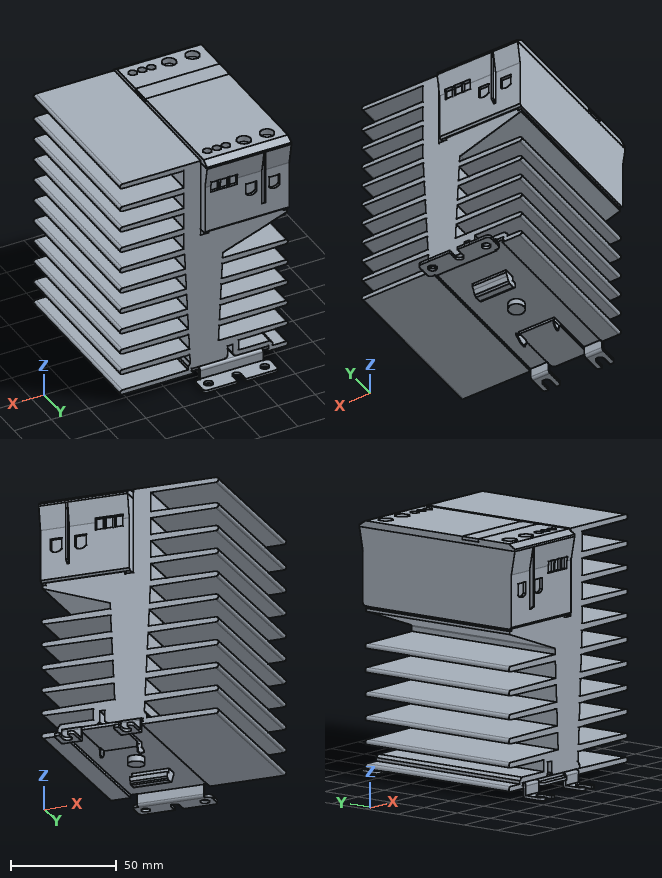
import cadquery as cq

SINK_HALF_LENGTH = 43.5
TOP_Z = 124.5
SINK_BOTTOM_Z = 4.6
SINK_WIDTH = 90.0
FIN_REACH = SINK_WIDTH / 2
FIN_TIP_THICKNESS = 2.6
FIN_TIP_RADIUS = FIN_TIP_THICKNESS / 2
FIN_ROOT_THICKNESS = 3.4
FIN_ROOT_HALF = FIN_ROOT_THICKNESS / 2
FIN_ROOT_X = 6.2
BOTTOM_FIN_Z = SINK_BOTTOM_Z + FIN_TIP_RADIUS
TOP_FIN_Z = TOP_Z - FIN_TIP_RADIUS
RIGHT_FIN_COUNT = 10
LEFT_FIN_COUNT = 6
FIN_ROW_HEIGHT = 104.3
FIN_PITCH = FIN_ROW_HEIGHT / (RIGHT_FIN_COUNT - 1)
UPPER_LEFT_FIN_Z = BOTTOM_FIN_Z + (LEFT_FIN_COUNT - 1) * FIN_PITCH
STEM_BOTTOM_HALF = 7.1
STEM_TOP_HALF = 10.5
STEM_TOP_Z = UPPER_LEFT_FIN_Z + FIN_PITCH
COLUMN_LEFT = 1.7
COLUMN_RIGHT = 10.7
SHELF_Z = 82.2
SHELF_TIP_X = -44.6
SHELF_TIP_Z = 80.7
SHELF_ROOT_Z = 68.5
SHELF_ROOT_ROUND = 0.6
PAD_LEFT = -42.7
PAD_RIGHT = -2.6
BASE_LEFT = -36.7
BASE_TOP_Z = 10.3
BASE_CHAMFER = 1.5
BASE_RIGHT = 8.5
BASE_RIGHT_Z = 9.3
BASE_RIGHT_TOP_Z = 11.5
PEDESTAL_LEFT = -18.5
SLOT_WIDTH = 2.7
SLOT_TOP_Z = 14.5
SLOT_FLARE = 1.2

MOUNT_X = -14.1
SHEET = 1.5
BEND_RADIUS = 1.4
PLATE_BOTTOM_Z = SINK_BOTTOM_Z + SHEET
PLATE_TOP_Z = PLATE_BOTTOM_Z + SHEET
PLATE_WIDTH = 41.1
FLANGE_WIDTH = 40.1
REAR_WEB_WIDTH = 33.9
FOOT_WIDTH = 10.0
WEB_OUTER_Y = SINK_HALF_LENGTH + SHEET
FLANGE_END_Y = 55.0
FLANGE_CORNER = 2.0
FOOT_CORNER = 1.5
SCREW_WIDTH = 4.4
SCREW_SPACING = 30.1
SCREW_Y = 49.9
HOOK_WIDTH = 18.9

SLIDER_WIDTH = 19.8
SLIDER_FRONT_Y = -46.9
SLIDER_CORNER = 2.2
CLAW_THICKNESS = 0.5
CLAW_BACK_Y = -17.5
RIVET_RADIUS = 4.1
RIVET_BOTTOM_Z = 3.0

HOUSING_LEFT = -FIN_REACH
HOUSING_RIGHT = 0.2
HOUSING_BOTTOM_Z = 83.3
UNDERCUT_TOP_Z = 84.3
FACE_TOP_Z = 109.8
LID_BOTTOM_Z = 121.3
LIP_TOP_Z = 122.3
HOUSING_TOP_HALF = SINK_HALF_LENGTH
HOUSING_BOTTOM_HALF = 43.8
FACE_HALF = 45.0
LIP_HALF = 47.0
RIB_X = -30.8
RIB_WIDTH = 1.0
RIB_END_Z = 92.5
RIB_END_CHAMFER = 1.6
POWER_X = [-37.0, -24.5]
CONTROL_X = [-15.0, -10.1, -5.0]
TERMINAL_Y = 37.5
POWER_HOLE_DIAMETER = 7.0
CONTROL_HOLE_DIAMETER = 4.2
ENTRY_DEPTH = 1.5
POWER_ENTRY_WIDTH = 5.7
POWER_ENTRY_TOP_Z = 104.6
POWER_ENTRY_SIDE_Z = 99.1
POWER_ENTRY_BOTTOM_Z = 97.6
CONTROL_ENTRY_WIDTH = 4.1
CONTROL_ENTRY_TOP_Z = 111.8
CONTROL_ENTRY_BOTTOM_Z = 106.1

STRIP_FRONT_Y = -24.9
STRIP_WIDTH = 9.8
STRIP_THICKNESS = 1.5


def box(x0, x1, y0, y1, z0, z1):
    """Box between two opposite corners."""
    return cq.Workplane("XY").box(x1 - x0, y1 - y0, z1 - z0, centered=False).translate((x0, y0, z0))


def extrude_x(points, x_middle, width):
    """Extrude a YZ polygon over a width centred on x_middle."""
    return cq.Workplane("YZ", origin=(x_middle, 0, 0)).polyline(points).close().extrude(width / 2, both=True)


def mirrored_in_y(feature):
    """The feature together with its mirror image at the other end of the part."""
    return feature.union(feature.mirror("XZ"))



def fin(z, side, over=FIN_ROOT_HALF, under=FIN_ROOT_HALF):
    """Tapered fin with a round tip; side is +1 or -1, over and under its root half-thicknesses."""
    root_x = side * FIN_ROOT_X
    shoulder_x = side * (FIN_REACH - FIN_TIP_RADIUS)
    outline = (
        cq.Workplane("XZ")
        .moveTo(root_x, z + over)
        .lineTo(shoulder_x, z + FIN_TIP_RADIUS)
        .threePointArc((side * FIN_REACH, z), (shoulder_x, z - FIN_TIP_RADIUS))
        .lineTo(root_x, z - under)
        .close()
    )
    return outline.extrude(SINK_HALF_LENGTH, both=True)


def sink_prism(points):
    """Extrude an XZ polygon over the whole length of the heatsink."""
    return cq.Workplane("XZ").polyline(points).close().extrude(SINK_HALF_LENGTH, both=True)


def stem_half(z):
    """Half-width of the tapered stem at height z."""
    taper = (STEM_TOP_HALF - STEM_BOTTOM_HALF) / (STEM_TOP_Z - BOTTOM_FIN_Z)
    return STEM_BOTTOM_HALF + taper * (z - BOTTOM_FIN_Z)


def make_heatsink():
    stem = sink_prism([
        (-STEM_BOTTOM_HALF, BOTTOM_FIN_Z),
        (STEM_BOTTOM_HALF, BOTTOM_FIN_Z),
        (STEM_TOP_HALF, STEM_TOP_Z),
        (-STEM_TOP_HALF, STEM_TOP_Z),
    ])
    shelf_root = (-stem_half(SHELF_ROOT_Z), SHELF_ROOT_Z)
    shelf = sink_prism([
        (SHELF_TIP_X, SHELF_Z),
        (SHELF_TIP_X, SHELF_TIP_Z),
        shelf_root,
        (-stem_half(UPPER_LEFT_FIN_Z), UPPER_LEFT_FIN_Z),
        (0, UPPER_LEFT_FIN_Z),
        (COLUMN_RIGHT, STEM_TOP_Z),
        (COLUMN_RIGHT, TOP_Z),
        (COLUMN_LEFT, TOP_Z),
        (COLUMN_LEFT, SHELF_Z),
    ])
    root_edge = cq.selectors.NearestToPointSelector((shelf_root[0], 0, shelf_root[1]))
    shelf = shelf.edges("|Y").edges(root_edge).fillet(SHELF_ROOT_ROUND)
    pad = box(PAD_LEFT, PAD_RIGHT, -SINK_HALF_LENGTH, SINK_HALF_LENGTH, SHELF_Z, HOUSING_BOTTOM_Z)
    base = sink_prism([
        (BASE_LEFT, SINK_BOTTOM_Z),
        (BASE_LEFT, BASE_TOP_Z - BASE_CHAMFER),
        (BASE_LEFT + BASE_CHAMFER, BASE_TOP_Z),
        (PEDESTAL_LEFT, BASE_TOP_Z),
        (PEDESTAL_LEFT, BOTTOM_FIN_Z + FIN_PITCH),
        (STEM_BOTTOM_HALF, BOTTOM_FIN_Z + FIN_PITCH),
        (STEM_BOTTOM_HALF, BASE_RIGHT_TOP_Z),
        (BASE_RIGHT, BASE_RIGHT_Z),
        (BASE_RIGHT, SINK_BOTTOM_Z),
    ])
    body = stem.union(shelf).union(pad).union(base)

    body = body.union(fin(TOP_FIN_Z, 1, over=FIN_TIP_RADIUS))
    body = body.union(fin(BOTTOM_FIN_Z, 1, under=FIN_TIP_RADIUS))
    body = body.union(fin(BOTTOM_FIN_Z, -1, over=FIN_TIP_RADIUS, under=FIN_TIP_RADIUS))
    for side, count in [(1, RIGHT_FIN_COUNT), (-1, LEFT_FIN_COUNT)]:
        for index in range(1, count):
            body = body.union(fin(BOTTOM_FIN_Z + index * FIN_PITCH, side))

    channel = box(
        MOUNT_X - PLATE_WIDTH / 2, MOUNT_X + PLATE_WIDTH / 2,
        -SINK_HALF_LENGTH, SINK_HALF_LENGTH, PLATE_BOTTOM_Z, PLATE_TOP_Z,
    )
    mouth = box(
        MOUNT_X - FLANGE_WIDTH / 2, MOUNT_X + FLANGE_WIDTH / 2,
        -SINK_HALF_LENGTH, SINK_HALF_LENGTH, SINK_BOTTOM_Z, PLATE_BOTTOM_Z,
    )
    slot_left = MOUNT_X - SLOT_WIDTH / 2
    slot_right = MOUNT_X + SLOT_WIDTH / 2
    slot = sink_prism([
        (slot_left - SLOT_FLARE, PLATE_TOP_Z),
        (slot_left, PLATE_TOP_Z + SLOT_FLARE),
        (slot_left, SLOT_TOP_Z),
        (slot_right, SLOT_TOP_Z),
        (slot_right, PLATE_TOP_Z + SLOT_FLARE),
        (slot_right + SLOT_FLARE, PLATE_TOP_Z),
    ])
    return body.cut(channel).cut(mouth).cut(slot)



def web(x_middle, width):
    """Front wall that drops from the plate to foot level, rounded outside both of its bends."""
    wall = box(
        x_middle - width / 2, x_middle + width / 2, -WEB_OUTER_Y, -SINK_HALF_LENGTH, 0, PLATE_TOP_Z,
    )
    upper_bend = wall.edges(">Z and <Y")
    lower_bend = wall.edges("<Z and >Y")
    return wall.newObject(upper_bend.vals() + lower_bend.vals()).fillet(BEND_RADIUS)


def screw_slot(x_middle, y_round, y_open):
    """Slot with a round inner end at y_round, open towards y_open."""
    half = SCREW_WIDTH / 2
    rounded = cq.Workplane("XY").center(x_middle, y_round).circle(half).extrude(SHEET)
    opening = box(x_middle - half, x_middle + half, min(y_round, y_open), max(y_round, y_open), 0, SHEET)
    return rounded.union(opening)


def front_foot(x_middle):
    half = FOOT_WIDTH / 2
    tongue = (
        box(x_middle - half, x_middle + half, -FLANGE_END_Y, -WEB_OUTER_Y, 0, SHEET)
        .edges("|Z and <Y").fillet(FOOT_CORNER)
    )
    return web(x_middle, FOOT_WIDTH).union(tongue)


def rear_flange():
    half = FLANGE_WIDTH / 2
    flange = (
        box(MOUNT_X - half, MOUNT_X + half, WEB_OUTER_Y, FLANGE_END_Y, 0, SHEET)
        .edges("|Z").fillet(FLANGE_CORNER)
        .cut(screw_slot(MOUNT_X, SCREW_Y, FLANGE_END_Y))
    )
    screw_holes = (
        cq.Workplane("XY")
        .pushPoints([(MOUNT_X + side * SCREW_SPACING / 2, SCREW_Y) for side in (-1, 1)])
        .circle(SCREW_WIDTH / 2)
        .extrude(SHEET)
    )
    return flange.cut(screw_holes).union(web(MOUNT_X, REAR_WEB_WIDTH).mirror("XZ"))


def fixed_hook():
    """Hook under the rear half of the plate, with its nose towards the front."""
    return extrude_x([
        (23.9, PLATE_BOTTOM_Z),
        (23.9, SINK_BOTTOM_Z),
        (22.9, 3.2),
        (21.8, 0.7),
        (20.7, 0),
        (17.3, 0),
        (16.3, 0.5),
        (15.8, 1.4),
        (15.7, 3.6),
        (17.9, 3.9),
        (17.9, PLATE_BOTTOM_Z),
    ], MOUNT_X, HOOK_WIDTH)


def make_bracket():
    bracket = box(
        MOUNT_X - PLATE_WIDTH / 2, MOUNT_X + PLATE_WIDTH / 2,
        -SINK_HALF_LENGTH, SINK_HALF_LENGTH, PLATE_BOTTOM_Z, PLATE_TOP_Z,
    ).union(rear_flange()).union(fixed_hook())
    for side in (-1, 1):
        foot_x = MOUNT_X + side * (FLANGE_WIDTH - FOOT_WIDTH) / 2
        slot_x = MOUNT_X + side * SCREW_SPACING / 2
        bracket = bracket.union(front_foot(foot_x)).cut(screw_slot(slot_x, -SCREW_Y, -FLANGE_END_Y))
    return bracket



def make_slider():
    """Flat tongue under the bracket plate with a thin claw along each side of its inner end."""
    half = SLIDER_WIDTH / 2
    tongue = (
        box(MOUNT_X - half, MOUNT_X + half, SLIDER_FRONT_Y, CLAW_BACK_Y, SINK_BOTTOM_Z, PLATE_BOTTOM_Z)
        .edges("|Z and <Y").fillet(SLIDER_CORNER)
    )
    claw_offset = (SLIDER_WIDTH - CLAW_THICKNESS) / 2
    blunt_claw = extrude_x([
        (CLAW_BACK_Y, SINK_BOTTOM_Z),
        (CLAW_BACK_Y, 2.7),
        (-18.7, 1.2),
        (-19.9, 0.4),
        (-21.0, 0.4),
        (-21.5, 1.2),
        (-22.3, SINK_BOTTOM_Z),
    ], MOUNT_X - claw_offset, CLAW_THICKNESS)
    pointed_claw = extrude_x([
        (CLAW_BACK_Y, SINK_BOTTOM_Z),
        (CLAW_BACK_Y, 3.9),
        (-16.2, 3.6),
        (-14.6, 3.0),
        (-14.6, 2.2),
        (-16.5, 1.5),
        (-18.7, 0),
        (-22.2, 0),
        (-22.8, 2.2),
        (-23.2, 2.2),
        (-23.2, SINK_BOTTOM_Z),
    ], MOUNT_X + claw_offset, CLAW_THICKNESS)
    return tongue.union(blunt_claw).union(pointed_claw)


def make_rivet():
    return (
        cq.Workplane("XY", origin=(MOUNT_X, 0, RIVET_BOTTOM_Z))
        .circle(RIVET_RADIUS)
        .extrude(PLATE_BOTTOM_Z - RIVET_BOTTOM_Z)
    )



def housing_prism(half_profile):
    """Prism along X from the YZ points of its rear half, listed upwards."""
    front_half = [(-y, z) for y, z in reversed(half_profile)]
    middle = (HOUSING_LEFT + HOUSING_RIGHT) / 2
    return extrude_x(half_profile + front_half, middle, HOUSING_RIGHT - HOUSING_LEFT)


def partition_rib():
    """Thin front rib, flush with the lip, that separates the two power terminals."""
    return extrude_x([
        (-FACE_HALF, LID_BOTTOM_Z),
        (-LIP_HALF, LID_BOTTOM_Z),
        (-LIP_HALF, RIB_END_Z),
        (-FACE_HALF, RIB_END_Z - RIB_END_CHAMFER),
    ], RIB_X, RIB_WIDTH)


def front_wire_entries():
    """Cutters for the wire entries in the front face of the case."""
    pocket_y = ENTRY_DEPTH - FACE_HALF
    entries = []
    for x in POWER_X:
        half = POWER_ENTRY_WIDTH / 2
        entry = (
            cq.Workplane("XZ", origin=(x, pocket_y, 0))
            .moveTo(-half, POWER_ENTRY_SIDE_Z)
            .threePointArc((0, POWER_ENTRY_BOTTOM_Z), (half, POWER_ENTRY_SIDE_Z))
            .lineTo(half, POWER_ENTRY_TOP_Z)
            .lineTo(-half, POWER_ENTRY_TOP_Z)
            .close()
            .extrude(LIP_HALF + pocket_y)
        )
        entries.append(entry)
    for x in CONTROL_X:
        half = CONTROL_ENTRY_WIDTH / 2
        entry = box(x - half, x + half, -LIP_HALF, pocket_y, CONTROL_ENTRY_BOTTOM_Z, CONTROL_ENTRY_TOP_Z)
        entries.append(entry)
    return entries


def make_case():
    case = housing_prism([
        (HOUSING_BOTTOM_HALF, HOUSING_BOTTOM_Z),
        (FACE_HALF, UNDERCUT_TOP_Z),
        (FACE_HALF, FACE_TOP_Z),
        (LIP_HALF, LID_BOTTOM_Z),
    ])
    case = case.union(mirrored_in_y(partition_rib()))
    for entry in front_wire_entries():
        case = case.cut(mirrored_in_y(entry))
    return case


def terminal_holes(x_positions, diameter):
    """Cutters for the screwdriver holes through the lid above both rows of terminals."""
    centres = [(x, side * TERMINAL_Y) for x in x_positions for side in (-1, 1)]
    return (
        cq.Workplane("XY", origin=(0, 0, LID_BOTTOM_Z))
        .pushPoints(centres)
        .circle(diameter / 2)
        .extrude(TOP_Z - LID_BOTTOM_Z)
    )


def make_lid(strip):
    lid = housing_prism([
        (LIP_HALF, LID_BOTTOM_Z),
        (LIP_HALF, LIP_TOP_Z),
        (HOUSING_TOP_HALF, TOP_Z),
    ])
    lid = lid.cut(terminal_holes(POWER_X, POWER_HOLE_DIAMETER))
    lid = lid.cut(terminal_holes(CONTROL_X, CONTROL_HOLE_DIAMETER))
    return lid.cut(strip)


def make_strip():
    return box(
        HOUSING_LEFT, HOUSING_RIGHT,
        STRIP_FRONT_Y, STRIP_FRONT_Y + STRIP_WIDTH, TOP_Z - STRIP_THICKNESS, TOP_Z,
    )


heatsink = make_heatsink()
bracket = make_bracket()
slider = make_slider()
rivet = make_rivet()
strip = make_strip()
lid = make_lid(strip)
case = make_case()

result = cq.Compound.makeCompound([
    heatsink.val(),
    bracket.val(),
    slider.val(),
    rivet.val(),
    case.val(),
    lid.val(),
    strip.val(),
])